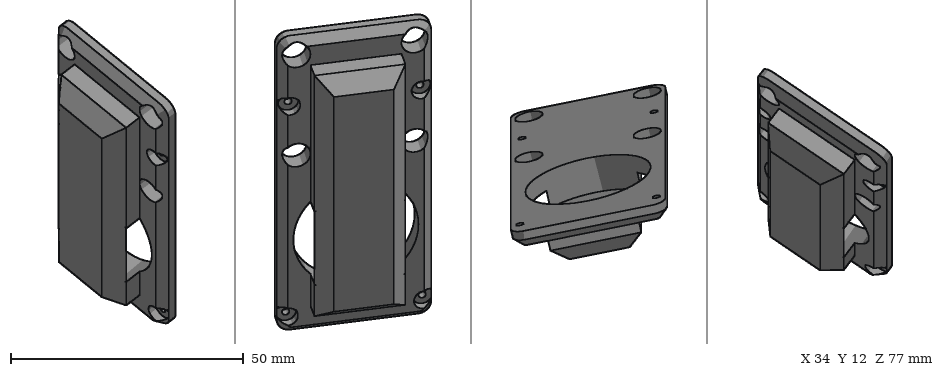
import cadquery as cq

PLATE_WIDTH = 34.0
PLATE_HEIGHT = 77.0
PLATE_THICKNESS = 4.0
PLATE_CORNER_RADIUS = 3.0
PLATE_CHAMFER = 2.0

BAR_WIDTH = 20.0
BAR_HEIGHT = 63.0
BAR_BASE_DEPTH = 4.0
BAR_CROWN_DEPTH = 4.0
BAR_CROWN_INSET = 3.4

RECESS_DIAMETER = 27.5
RECESS_CENTER_Z = -13.7
RECESS_DEPTH = PLATE_THICKNESS + BAR_BASE_DEPTH

MOUNT_HOLE_DIAMETER = 6.0
MOUNT_HOLE_SPACING = 26.0
MOUNT_TOP_MARGIN = 4.15
MOUNT_TOP_Z = PLATE_HEIGHT / 2 - MOUNT_TOP_MARGIN

SCREW_HOLE_DIAMETER = 1.6
SCREW_HEAD_DIAMETER = 4.5
SCREW_FLOOR_THICKNESS = PLATE_THICKNESS - PLATE_CHAMFER
SCREW_ROW_SPACING = 55.0
UPPER_SCREW_X = 14.5
UPPER_SCREW_Z = MOUNT_TOP_Z - MOUNT_HOLE_SPACING / 2
LOWER_SCREW_X = 15.0
LOWER_SCREW_Z = UPPER_SCREW_Z - SCREW_ROW_SPACING


def front_plane(depth):
    """Sketch on a plane facing -Y, at the given height above the back face."""
    return cq.Workplane("XZ", origin=(0, -depth, 0))


def make_plate():
    plate = front_plane(0).rect(PLATE_WIDTH, PLATE_HEIGHT).extrude(PLATE_THICKNESS)
    plate = plate.edges("|Y").fillet(PLATE_CORNER_RADIUS)
    return plate.faces("<Y").edges().chamfer(PLATE_CHAMFER)


def make_bar():
    base_top = PLATE_THICKNESS + BAR_BASE_DEPTH
    base = front_plane(0).rect(BAR_WIDTH, BAR_HEIGHT).extrude(base_top)
    crown = (
        front_plane(base_top)
        .rect(BAR_WIDTH, BAR_HEIGHT)
        .workplane(offset=BAR_CROWN_DEPTH)
        .rect(BAR_WIDTH - 2 * BAR_CROWN_INSET, BAR_HEIGHT - 2 * BAR_CROWN_INSET)
        .loft(ruled=True)
    )
    return base.union(crown)


def bores(points, diameter, start, depth):
    """Cylinders along Y at (x, z) points, from a start height above the back face."""
    return front_plane(start).pushPoints(points).circle(diameter / 2).extrude(depth)


recess = bores([(0, RECESS_CENTER_Z)], RECESS_DIAMETER, 0, RECESS_DEPTH)

mount_points = [
    (side * MOUNT_HOLE_SPACING / 2, z)
    for side in (-1, 1)
    for z in (MOUNT_TOP_Z, MOUNT_TOP_Z - MOUNT_HOLE_SPACING)
]
mount_holes = bores(mount_points, MOUNT_HOLE_DIAMETER, 0, PLATE_THICKNESS)

screw_points = [
    (side * x, z)
    for side in (-1, 1)
    for x, z in ((UPPER_SCREW_X, UPPER_SCREW_Z), (LOWER_SCREW_X, LOWER_SCREW_Z))
]
screw_holes = bores(screw_points, SCREW_HOLE_DIAMETER, 0, PLATE_THICKNESS)
screw_head_depth = PLATE_THICKNESS - SCREW_FLOOR_THICKNESS
screw_heads = bores(screw_points, SCREW_HEAD_DIAMETER, SCREW_FLOOR_THICKNESS, screw_head_depth)

result = make_plate().union(make_bar())
for cutter in (recess, mount_holes, screw_holes, screw_heads):
    result = result.cut(cutter)